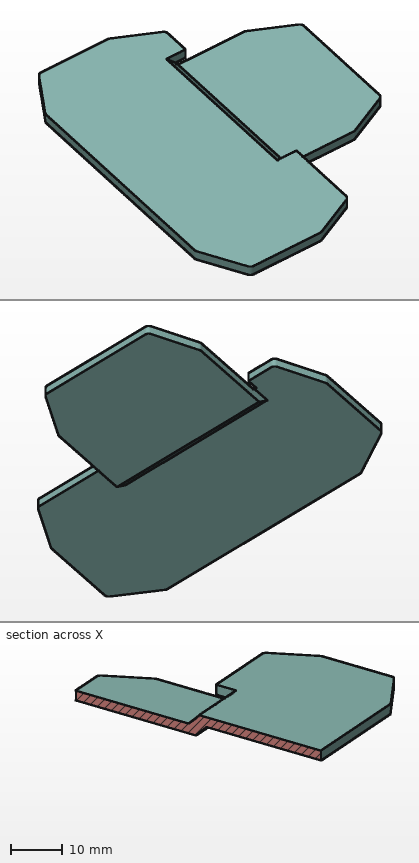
import cadquery as cq

plate_width = 69.9
plate_depth = 33.2
sheet_thickness = 2.25
front_corner_run = 10.3
front_corner_rise = 5.95
corner_radius = 1.0

taper_inset = 4.95
taper_length = 10.2

tab_width = 36.1
tab_left = -23.1
tab_right = tab_left + tab_width
tab_rear = 57.5
step_drop = 2.5
notch_floor = 28.5
notch_left_clearance = 0.4

plate_bottom = step_drop
plate_top = plate_bottom + sheet_thickness
tab_top = sheet_thickness
bend_foot = notch_floor + plate_top - tab_top
bend_underside_rear = 29.35
bend_underside_front = bend_underside_rear - plate_bottom


def extrude_along_x(points, x_start, x_end):
    """Extrude a closed Y-Z outline between two X positions."""
    return cq.Workplane("YZ", origin=(x_start, 0, 0)).polyline(points).close().extrude(x_end - x_start)


def make_plate():
    half_width = plate_width / 2
    right_side = [
        (half_width - front_corner_run, 0),
        (half_width, front_corner_rise),
        (half_width, plate_depth - taper_length),
        (half_width - taper_inset, plate_depth),
    ]
    left_side = [(-x, y) for x, y in reversed(right_side)]
    blank = cq.Workplane("XY", origin=(0, 0, plate_bottom)).polyline(right_side + left_side).close()
    return blank.extrude(sheet_thickness).edges("|Z").fillet(corner_radius)


def make_notch():
    """Cutter whose front wall slopes down and back at 45 degrees."""
    wall_profile = [
        (notch_floor, plate_top),
        (notch_floor + sheet_thickness, plate_bottom),
        (plate_depth, plate_bottom),
        (plate_depth, plate_top),
    ]
    return extrude_along_x(wall_profile, tab_left - notch_left_clearance, tab_right)


def make_tab():
    """Flat tab and the sloped bend that joins it to the plate."""
    bent_profile = [
        (bend_underside_front, plate_bottom),
        (bend_underside_rear, 0),
        (tab_rear, 0),
        (tab_rear, tab_top),
        (bend_foot, tab_top),
        (notch_floor, plate_top),
        (bend_underside_front, plate_top),
    ]
    strip = extrude_along_x(bent_profile, tab_left, tab_right)
    outline = [
        (tab_left, 0),
        (tab_right, 0),
        (tab_right, tab_rear - taper_length),
        (tab_right - taper_inset, tab_rear),
        (tab_left + taper_inset, tab_rear),
        (tab_left, tab_rear - taper_length),
    ]
    tapered_block = cq.Workplane("XY").polyline(outline).close().extrude(plate_top)
    tapered_block = tapered_block.edges("|Z and (not <Y)").fillet(corner_radius)
    return strip.intersect(tapered_block)


result = make_plate().cut(make_notch()).union(make_tab())